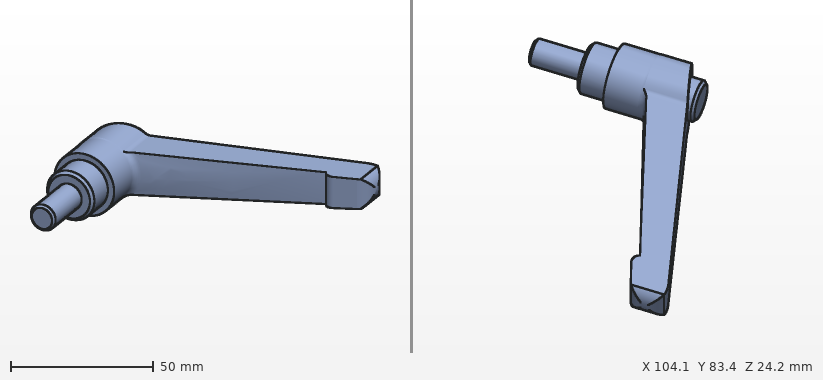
import cadquery as cq
import math


stud_radius = 5.0
stud_end = -30.9
stud_chamfer = 0.9
sleeve_radius = 9.5
sleeve_end = -11.0
sleeve_chamfer = 1.1
collar_radius = 12.0
button_radius = 7.6
button_top = 32.3
button_chamfer = 1.1

hub_radius = 12.1
flare_start = 13.1
flare_radius = 3.0
flare_turn = math.radians(70)

arm_top_angle = math.radians(16)
arm_top_at_axis = 27.9
crown_y = 52.5
crown_radius = 10.0
notch_x = 75.9
notch_y = 38.2
grip_radius = 3.0

half_width_at_axis = 8.6
half_width_at_nose = 5.8
nose_start = 88.9
nose_tip = 92.0
nose_tip_y = 46.1
chin_x = 87.9
root_fillet = 3.0
keel_fade = 0.05

flare_end_radius = collar_radius + flare_radius * (1 - math.cos(flare_turn))
flare_end_y = flare_start + flare_radius * math.sin(flare_turn)
flare_growth = hub_radius - collar_radius
hub_bottom = flare_start + math.sqrt(flare_radius**2 - (flare_radius - flare_growth)**2)
width_slope = (half_width_at_axis - half_width_at_nose) / nose_start


def half_width(x):
    """Half the arm width along Z at a given X."""
    return half_width_at_axis - width_slope * x


def arm_top(x):
    """Height of the sloping top face at a given X."""
    return arm_top_at_axis + x * math.tan(arm_top_angle)


quad_a = 1 + width_slope**2
quad_b = -2 * half_width_at_axis * width_slope
quad_c = half_width_at_axis**2 - flare_end_radius**2
chord_x = (-quad_b + math.sqrt(quad_b**2 - 4 * quad_a * quad_c)) / (2 * quad_a)


def turned(radius, y_from, y_to):
    """Cylinder on the clamping axis between two Y positions."""
    return cq.Workplane("XZ", origin=(0, y_from, 0)).circle(radius).extrude(y_from - y_to)


def flare():
    """Ring that widens from the collar, curving out to the underside of the arm."""
    mid_turn = flare_turn / 2
    mid = (
        collar_radius + flare_radius * (1 - math.cos(mid_turn)),
        flare_start + flare_radius * math.sin(mid_turn),
    )
    return (
        cq.Workplane("XY")
        .moveTo(0, flare_start)
        .lineTo(collar_radius, flare_start)
        .threePointArc(mid, (flare_end_radius, flare_end_y))
        .lineTo(0, flare_end_y)
        .close()
        .revolve(360, (0, 0, 0), (0, 1, 0))
    )


def plan_body():
    """Round hub and tapering arm extruded along the clamping axis."""
    arm = (
        cq.Workplane("XZ")
        .moveTo(0, -half_width_at_axis)
        .lineTo(nose_start, -half_width_at_nose)
        .threePointArc((nose_tip, 0), (nose_start, half_width_at_nose))
        .lineTo(0, half_width_at_axis)
        .close()
        .extrude(-crown_y)
    )
    root_zone = cq.selectors.BoxSelector(
        (0, 0, -hub_radius), (hub_radius, crown_y, hub_radius)
    )
    body = turned(hub_radius, 0, crown_y).union(arm)
    return body.edges("|Y").edges(root_zone).fillet(root_fillet)


def side_body():
    """Side outline of arm and upper hub, with rounded nose and finger grip."""
    crown_start_y = crown_y - crown_radius * (1 - math.cos(arm_top_angle))
    crown_start_x = (crown_start_y - arm_top_at_axis) / math.tan(arm_top_angle)
    crown_x = crown_start_x + crown_radius * math.sin(arm_top_angle)
    crown_drop = crown_radius - math.sqrt(crown_radius**2 - (nose_start - crown_x)**2)

    slope = math.atan2(notch_y - flare_end_y, notch_x - flare_end_radius)
    grip_x = notch_x + grip_radius * math.cos(slope)
    grip_y = notch_y + grip_radius * math.sin(slope)

    def on_grip(angle):
        return (grip_x + grip_radius * math.cos(angle), grip_y + grip_radius * math.sin(angle))

    grip_end = on_grip(slope - math.pi / 2)
    chin_y = grip_end[1] + (chin_x - grip_end[0]) * math.tan(slope)

    return (
        cq.Workplane("XY", origin=(0, 0, -hub_radius))
        .moveTo(-hub_radius, flare_end_y)
        .lineTo(-hub_radius, arm_top(-hub_radius))
        .lineTo(crown_start_x, crown_start_y)
        .threePointArc((crown_x, crown_y), (nose_start, crown_y - crown_drop))
        .threePointArc((nose_tip, nose_tip_y), (chin_x, chin_y))
        .lineTo(*grip_end)
        .threePointArc(on_grip(slope - 3 * math.pi / 4), (notch_x, notch_y))
        .lineTo(chord_x, flare_end_y)
        .close()
        .extrude(2 * hub_radius)
    )


def keel():
    """Shallow belly under the arm, from the flare's round end to the straight notch edge."""
    root_half = half_width(chord_x)
    notch_half = half_width(notch_x)
    return (
        cq.Workplane("XZ", origin=(0, flare_end_y, 0))
        .moveTo(chord_x, -root_half)
        .threePointArc((flare_end_radius, 0), (chord_x, root_half))
        .close()
        .workplane(offset=flare_end_y - notch_y)
        .moveTo(notch_x, -notch_half)
        .threePointArc((notch_x + keel_fade, 0), (notch_x, notch_half))
        .close()
        .loft(ruled=True)
    )


stud = turned(stud_radius, stud_end, 0).faces("<Y").chamfer(stud_chamfer)
sleeve = turned(sleeve_radius, sleeve_end, 0).faces("<Y").chamfer(sleeve_chamfer)
collar = turned(collar_radius, 0, flare_start)
button = turned(button_radius, 0, button_top).faces(">Y").chamfer(button_chamfer)

plan = plan_body()
lower_hub = turned(hub_radius, hub_bottom, flare_end_y)
lever = side_body().intersect(plan).union(flare().intersect(plan)).union(lower_hub).union(keel())
result = lever.union(collar).union(sleeve).union(stud).union(button)